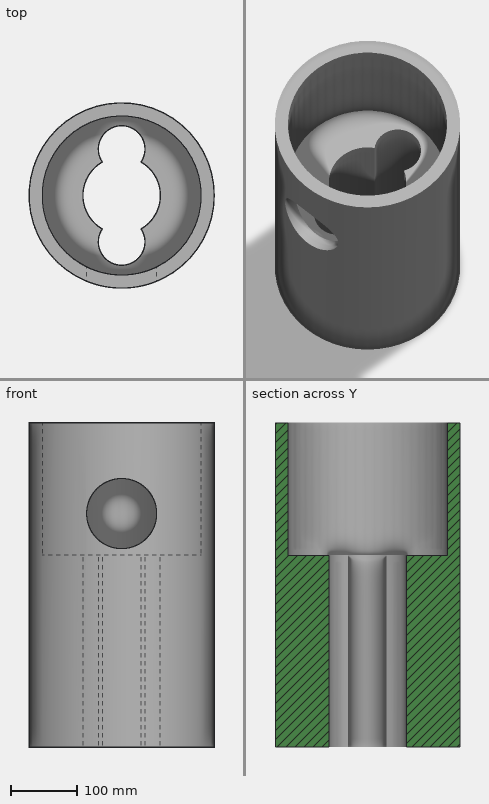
import cadquery as cq

height = 490
outer_diameter = 280.0

bore_diameter = 240
bore_depth = 200.0
base_height = height - bore_depth

window_diameter = 106.0
window_below_top = 137

center_hole_diameter = 116.5
lobe_diameter = 70.0
lobe_offset = 70.0


def vertical_cylinder(diameter, length, y=0, bottom=0):
    return cq.Workplane("XY", origin=(0, y, bottom)).circle(diameter / 2).extrude(length)


def front_window():
    """Cylinder from the bore axis out through the -Y wall."""
    plane = cq.Workplane("XZ", origin=(0, 0, height - window_below_top))
    return plane.circle(window_diameter / 2).extrude(outer_diameter)


def base_passage():
    passage = vertical_cylinder(center_hole_diameter, base_height)
    for side in (-1, 1):
        passage = passage.union(vertical_cylinder(lobe_diameter, base_height, side * lobe_offset))
    return passage


body = vertical_cylinder(outer_diameter, height)
bore = vertical_cylinder(bore_diameter, bore_depth, bottom=base_height)
result = body.cut(bore).cut(front_window()).cut(base_passage())